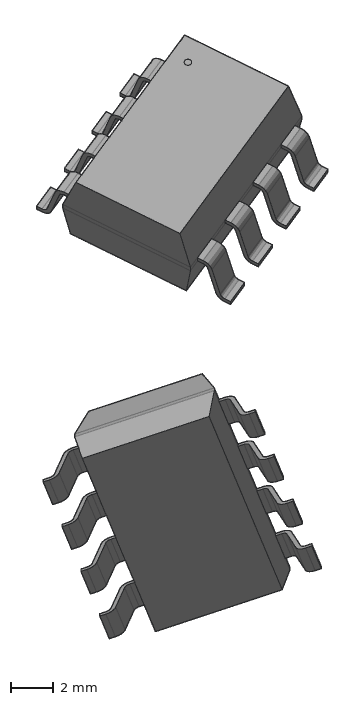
import cadquery as cq
import math

overall_span = 10.67
top_z = 4.62
band_top_z = 2.51
shoulder_top_z = 2.5
standoff = 0.13

body_width = 7.03
body_length = 10.19
band_height = 0.29
top_width = 5.72
top_length = 9.92
bottom_width = 6.38
bottom_length = 9.85

leads_per_side = 4
lead_pitch = 2.54
lead_width = 1.29
lead_thickness = 0.25
inner_bend_radius = 0.27
foot_length = 0.31
bend_angle = math.radians(75)

marker_diameter = 0.35
marker_depth = 0.11
marker_x = -1.91
marker_y = 3.69


def frustum(lower_size, upper_size, lower_z, upper_z):
    """Tapered block between two centred rectangles."""
    return (
        cq.Workplane("XY")
        .workplane(offset=lower_z)
        .rect(*lower_size)
        .workplane(offset=upper_z - lower_z)
        .rect(*upper_size)
        .loft(ruled=True)
    )


def make_marker():
    """Disc set flush into the top face beside pin 1."""
    return (
        cq.Workplane("XY")
        .workplane(offset=top_z - marker_depth)
        .center(marker_x, marker_y)
        .circle(marker_diameter / 2)
        .extrude(marker_depth)
    )


def make_housing():
    """Straight parting band with tapered halves, recessed for the marker."""
    band_size = (body_width, body_length)
    band_bottom_z = band_top_z - band_height
    lower_half = frustum((bottom_width, bottom_length), band_size, standoff, band_bottom_z)
    band = cq.Workplane("XY").workplane(offset=band_bottom_z).rect(*band_size).extrude(band_height)
    upper_half = frustum(band_size, (top_width, top_length), band_top_z, top_z)
    return lower_half.union(band).union(upper_half).cut(make_marker())


def make_lead(y):
    """Gull-wing lead on the +X side, centred at y and butting against the band."""
    middle_radius = inner_bend_radius + lead_thickness / 2
    foot_z = lead_thickness / 2
    shoulder_z = shoulder_top_z - lead_thickness / 2
    foot_end_x = overall_span / 2
    foot_bend_x = foot_end_x - foot_length

    bend_run = middle_radius * math.sin(bend_angle)
    bend_rise = middle_radius * (1 - math.cos(bend_angle))
    half_bend_run = middle_radius * math.sin(bend_angle / 2)
    half_bend_rise = middle_radius * (1 - math.cos(bend_angle / 2))

    leg_rise = shoulder_z - foot_z - 2 * bend_rise
    leg_run = leg_rise / math.tan(bend_angle)
    shoulder_bend_x = foot_bend_x - 2 * bend_run - leg_run

    centreline = (
        cq.Workplane("XZ")
        .moveTo(body_width / 2, shoulder_z)
        .lineTo(shoulder_bend_x, shoulder_z)
        .threePointArc(
            (shoulder_bend_x + half_bend_run, shoulder_z - half_bend_rise),
            (shoulder_bend_x + bend_run, shoulder_z - bend_rise),
        )
        .lineTo(foot_bend_x - bend_run, foot_z + bend_rise)
        .threePointArc(
            (foot_bend_x - half_bend_run, foot_z + half_bend_rise),
            (foot_bend_x, foot_z),
        )
        .lineTo(foot_end_x, foot_z)
    )
    return (
        cq.Workplane("YZ", origin=(body_width / 2, y, shoulder_z))
        .rect(lead_width, lead_thickness)
        .sweep(centreline)
    )


housing = make_housing()
marker = make_marker()

leads = []
for index in range(leads_per_side):
    lead_y = (index - (leads_per_side - 1) / 2) * lead_pitch
    lead = make_lead(lead_y)
    leads.append(lead.val())
    leads.append(lead.mirror("YZ").val())

result = cq.Compound.makeCompound([housing.val(), marker.val(), *leads])